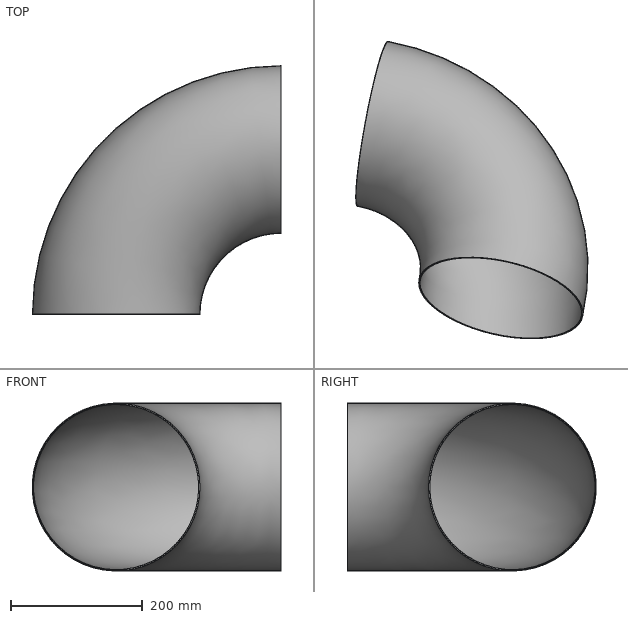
import cadquery as cq

longest_side = 377.0
outer_diameter = 254.0
wall_thickness = 2.0
bend_angle = 90.0

outer_radius = outer_diameter / 2
inner_radius = outer_radius - wall_thickness
bend_radius = longest_side - outer_radius

result = (
    cq.Workplane("XZ")
    .circle(outer_radius)
    .circle(inner_radius)
    .revolve(bend_angle, (bend_radius, 0, 0), (bend_radius, -1, 0))
)